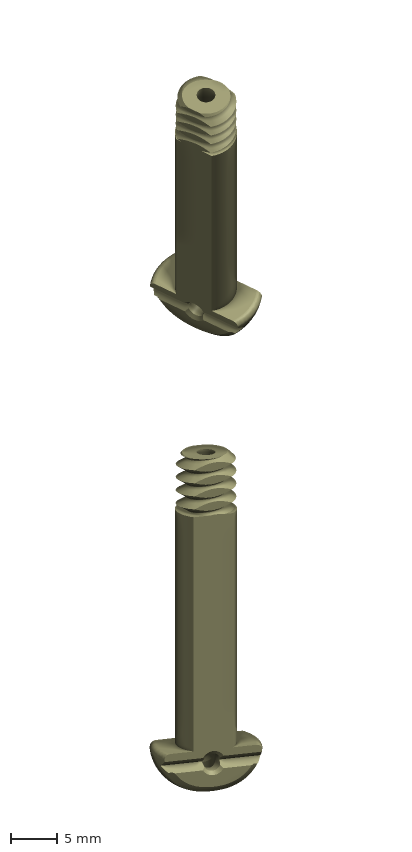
import cadquery as cq
total_height = 38.1
thickness = 5.0
half_thickness = thickness / 2

head_radius = 6.15
head_height = 5.0
dome_radius = head_height
head_rim_fillet = 0.6
dome_chamfer = 0.55

groove_z = 3.43
groove_width = 1.4
groove_depth = 0.95
cross_hole_diameter = 2.0
cross_hole_countersink = 0.4

shank_radius = 3.35
shank_top_z = 31.7
bore_diameter = 2.02

thread_core_radius = 2.15
thread_ridge_foot_radius = 2.1
thread_crest_radius = 3.28
thread_pitch = 1.5
thread_foot_gap = 0.05
thread_crest_z = 36.85
thread_turns_below = 5
thread_turns = 7
thread_end_chamfer = 0.7


def between_flats(solid):
    """Keep only the part of a turned solid that lies between the two flats."""
    slab = cq.Workplane("XY").box(2 * head_radius, thickness, 2 * total_height)
    return solid.intersect(slab)


def make_head():
    profile = (
        cq.Workplane("XZ")
        .lineTo(head_radius - dome_radius, 0)
        .radiusArc((head_radius, head_height), -dome_radius)
        .lineTo(0, head_height)
        .close()
    )
    turned = profile.revolve(360, (0, 0), (0, 1))
    head = between_flats(turned.faces(">Z").edges().fillet(head_rim_fillet))

    groove_plane = cq.Workplane("XY", origin=(0, 0, groove_z))
    halves = groove_plane.newObject(head.vals()).split(keepTop=True, keepBottom=True)
    upper = halves.solids(">Z")
    lower = cq.Workplane(halves.solids("<Z").val())
    lower = lower.faces("<Y or >Y").edges("not >Z").chamfer(dome_chamfer)
    return upper.union(lower)


def cut_grooves(body):
    half_width = groove_width / 2
    for side in (-1, 1):
        mouth = side * half_thickness
        floor = side * (half_thickness - groove_depth)
        groove = (
            cq.Workplane("YZ")
            .polyline([
                (mouth, groove_z - half_width),
                (floor, groove_z),
                (mouth, groove_z + half_width),
            ])
            .close()
            .extrude(2 * head_radius, both=True)
        )
        body = body.cut(groove)
    return body


def make_cross_hole():
    hole_radius = cross_hole_diameter / 2
    mouth_radius = hole_radius + cross_hole_countersink
    countersink_floor = half_thickness - cross_hole_countersink
    profile = (
        cq.Workplane("XY")
        .polyline([
            (0, -half_thickness),
            (mouth_radius, -half_thickness),
            (hole_radius, -countersink_floor),
            (hole_radius, countersink_floor),
            (mouth_radius, half_thickness),
            (0, half_thickness),
        ])
        .close()
    )
    return profile.revolve(360, (0, 0), (0, 1)).translate((0, 0, groove_z))


def make_shank():
    base = cq.Workplane("XY").workplane(offset=head_height)
    return between_flats(base.circle(shank_radius).extrude(shank_top_z - head_height))


def make_thread():
    thread_length = total_height - shank_top_z
    base = cq.Workplane("XY").workplane(offset=shank_top_z)
    core = base.circle(thread_core_radius).extrude(thread_length)

    clearance = thread_crest_radius - thread_core_radius
    envelope = (
        base.circle(thread_crest_radius + clearance)
        .extrude(thread_length)
        .faces(">Z")
        .chamfer(thread_end_chamfer + clearance)
    )

    half_foot = (thread_pitch - thread_foot_gap) / 2
    start_z = thread_crest_z - thread_turns_below * thread_pitch
    helix = cq.Wire.makeHelix(thread_pitch, thread_turns * thread_pitch, thread_ridge_foot_radius)
    ridge = (
        cq.Workplane("XZ")
        .polyline([
            (thread_ridge_foot_radius, -half_foot),
            (thread_crest_radius, 0),
            (thread_ridge_foot_radius, half_foot),
        ])
        .close()
        .sweep(cq.Workplane(helix), isFrenet=True)
        .translate((0, 0, start_z))
    )
    return between_flats(envelope).intersect(ridge).union(core)


def make_bore():
    return cq.Workplane("XY").circle(bore_diameter / 2).extrude(total_height)


result = (
    cut_grooves(make_head())
    .union(make_shank())
    .union(make_thread())
    .cut(make_cross_hole())
    .cut(make_bore())
)